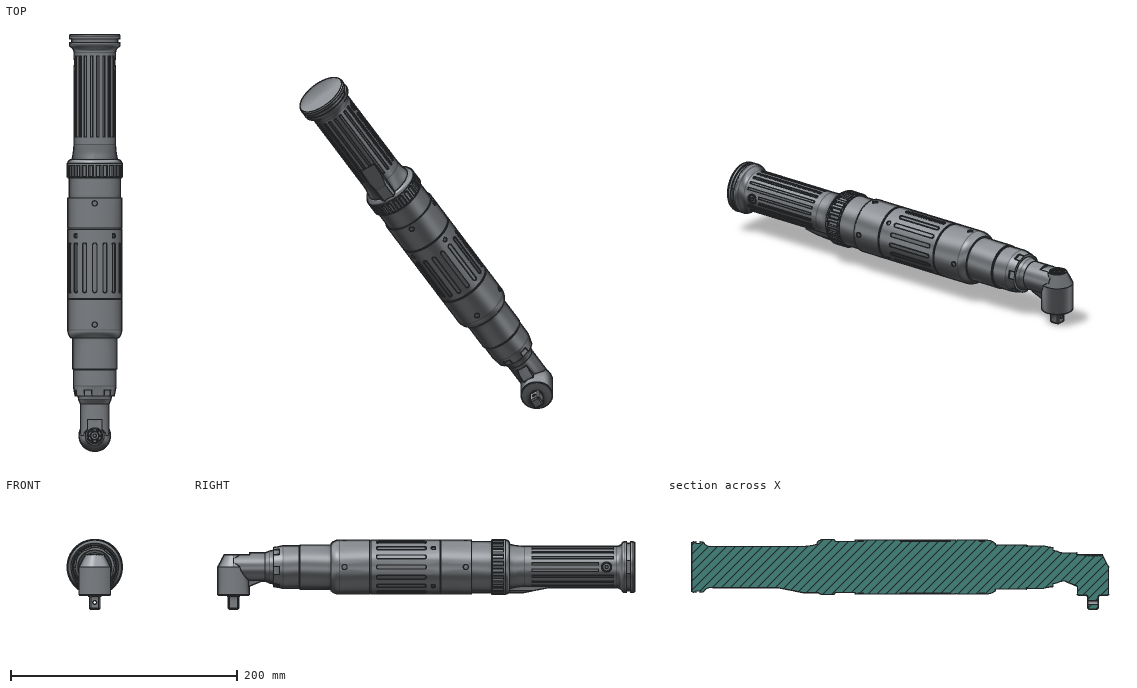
import cadquery as cq
import math


REAR_Y = 355.0
FLANGE_R = 22.5
FLANGE_CHAMFER_LENGTH = 1.5
FLANGE_CHAMFER_DEPTH = 0.7
FLANGE_FRONT_Y = 346.0
FLANGE_FILLET_R = 2.5
FLANGE_GROOVE_REAR_Y = 351.0
FLANGE_GROOVE_FRONT_Y = 347.7
FLANGE_GROOVE_R = 21.3
FLANGE_FLAT_X = 20.2
FLANGE_FLAT_WIDTH = 11.7
GRIP_R = 18.5
GRIP_REAR_Y = 339.0
GRIP_FRONT_Y = 257.6

FLUTE_COUNT = 20
FLUTE_WIDTH = 2.0
FLUTE_DEPTH = 1.0
FLUTE_REAR_Y = 336.0
FLUTE_SHORT_REAR_Y = 322.7
FLUTE_FRONT_Y = 264.2
RECESS_Y = 330.0
RECESS_D = 9.0
RECESS_DEPTH = 1.2
SCREW_HEAD_D = 6.8
SCREW_HEAD_HEIGHT = 0.6
SCREW_SOCKET_D = 3.0
SCREW_SOCKET_DEPTH = 2.0

WEDGE_REAR_Y = 278.0
WEDGE_CREST_Y = 256.0
WEDGE_DROP = 22.8
WEDGE_WIDTH = 14.0
WEDGE_EDGE_CHAMFER = 2.0

RING_R = 24.495
RING_SHOULDER_R = 24.0
RING_SHOULDER_FILLET = 3.7
RING_SHOULDER_Y = 240.6
RING_FRONT_Y = 228.0
RING_BEVEL = 1.0
KNURL_COUNT = 24
KNURL_REAR_Y = 238.9
KNURL_FRONT_Y = 229.2
KNURL_WIDTH = 4.6
KNURL_FLOOR_WIDTH = 2.6
KNURL_DEPTH = 1.0
COLLAR_R = 22.8

HOUSING_R = 24.0
HOUSING_REAR_Y = 210.4
HOUSING_TAPER_Y = 93.6
SHOULDER_Y = 86.4
SHOULDER_R = 21.0
HOUSING_SEAM_YS = (183.0, 121.0)
SEAM_WIDTH = 1.0
SEAM_DEPTH = 0.5
SLOT_COUNT = 16
SLOT_WIDTH = 3.6
SLOT_REAR_Y = 170.6
SLOT_FRONT_Y = 126.4
SLOT_DEPTH = 1.0
PLUG_YS = (205.5, 98.2)
PLUG_D = 4.6
PLUG_DEPTH = 1.0
PIN_Y = 176.8
PIN_D = 4.0
PIN_DEPTH = 1.5

TUBE_R = 19.7
TUBE_FRONT_Y = 58.5
CLUTCH_R = 19.0
CLUTCH_FRONT_Y = 43.8
NUT_FRONT_Y = 35.3
NUT_FRONT_R = 17.4
NUT_SLOT_COUNT = 6
NUT_SLOT_START_ANGLE = 40.0
NUT_SLOT_REAR_Y = 40.5
NUT_SLOT_WIDTH = 7.0
NUT_SLOT_FLOOR_R = 16.8
STEP_R = 15.0
STEP_FRONT_Y = 32.0
STEP_FRONT_R = 14.3
NECK_R = 12.7
NECK_REAR_Y = 28.0
NECK_FLAT_Y = 14.3

HEAD_R = 14.0
HEAD_TOP_R = 8.4
HEAD_TOP_Z = 11.0
HEAD_BOTTOM_Z = -25.0
HEAD_BOTTOM_CHAMFER = 0.6
CAP_SEAT_D = 14.0
CAP_D = 11.8
CAP_DEPTH = 1.0
CAP_CENTRE_D = 3.0
CAP_RING_OUTER_D = 8.0
CAP_RING_INNER_D = 6.8
CAP_PIN_COUNT = 6
CAP_PIN_D = 1.6
WEB_REAR_Y = 24.5
WEB_BOTTOM_Z = -17.0
WEB_WIDTH = 10.0

DRIVE_BOTTOM_Z = -37.49
DRIVE_SIZE = 9.5
DRIVE_CORNER = 1.3
DRIVE_COLLAR_D = 11.0
DRIVE_COLLAR_HEIGHT = 1.0
DRIVE_TIP_CHAMFER = 1.2
DRIVE_HOLE_D = 3.18
DRIVE_HOLE_Z = -31.3

AXIS_START = (0, 0, 0)
Y_AXIS_END = (0, 1, 0)


def about_body_axis(shape, angle):
    return shape.rotate(AXIS_START, Y_AXIS_END, angle)


def top_bar(width, front_y, rear_y, floor_z):
    """Square-ended bar above the body axis, used as a lengthwise cutter."""
    clearance = 10.0
    return (
        cq.Workplane("XY", origin=(0, (front_y + rear_y) / 2, floor_z))
        .rect(width, rear_y - front_y)
        .extrude(clearance)
    )


def top_hole(diameter, y, floor_z):
    """Round cutter pointing down onto the body axis from above."""
    clearance = 10.0
    return cq.Workplane("XY", origin=(0, y, floor_z)).circle(diameter / 2).extrude(clearance)


def make_body():
    drop = FLANGE_R - GRIP_R
    length = FLANGE_FRONT_Y - GRIP_REAR_Y
    radius_sum = (drop**2 + length**2) / (2 * drop)
    joint_share = FLANGE_FILLET_R / radius_sum
    joint = (FLANGE_R - joint_share * drop, FLANGE_FRONT_Y - joint_share * length)
    flare_r = RING_SHOULDER_R - RING_SHOULDER_FILLET
    flare_y = RING_SHOULDER_Y + RING_SHOULDER_FILLET
    fillet_reach = RING_SHOULDER_FILLET * math.sqrt(0.5)
    fillet_middle = (flare_r + fillet_reach, RING_SHOULDER_Y + fillet_reach)
    profile = (
        cq.Workplane("XY")
        .moveTo(0, REAR_Y)
        .lineTo(FLANGE_R - FLANGE_CHAMFER_DEPTH, REAR_Y)
        .lineTo(FLANGE_R, REAR_Y - FLANGE_CHAMFER_LENGTH)
        .lineTo(FLANGE_R, FLANGE_GROOVE_REAR_Y)
        .lineTo(FLANGE_GROOVE_R, FLANGE_GROOVE_REAR_Y)
        .lineTo(FLANGE_GROOVE_R, FLANGE_GROOVE_FRONT_Y)
        .lineTo(FLANGE_R, FLANGE_GROOVE_FRONT_Y)
        .lineTo(FLANGE_R, FLANGE_FRONT_Y)
        .tangentArcPoint(joint, relative=False)
        .tangentArcPoint((GRIP_R, GRIP_REAR_Y), relative=False)
        .lineTo(GRIP_R, GRIP_FRONT_Y)
        .tangentArcPoint((flare_r, flare_y), relative=False)
        .threePointArc(fillet_middle, (RING_SHOULDER_R, RING_SHOULDER_Y))
        .lineTo(RING_R, RING_SHOULDER_Y)
        .lineTo(RING_R, RING_FRONT_Y + RING_BEVEL)
        .lineTo(RING_R - RING_BEVEL, RING_FRONT_Y)
        .lineTo(COLLAR_R, RING_FRONT_Y)
        .lineTo(COLLAR_R, HOUSING_REAR_Y)
        .lineTo(HOUSING_R, HOUSING_REAR_Y)
        .lineTo(HOUSING_R, HOUSING_TAPER_Y)
        .tangentArcPoint((SHOULDER_R, SHOULDER_Y), relative=False)
        .lineTo(TUBE_R, SHOULDER_Y)
        .lineTo(TUBE_R, TUBE_FRONT_Y)
        .lineTo(CLUTCH_R, TUBE_FRONT_Y)
        .lineTo(CLUTCH_R, CLUTCH_FRONT_Y)
        .lineTo(NUT_FRONT_R, NUT_FRONT_Y)
        .lineTo(STEP_R, NUT_FRONT_Y)
        .lineTo(STEP_FRONT_R, STEP_FRONT_Y)
        .lineTo(NECK_R, NECK_REAR_Y)
        .lineTo(NECK_R, 0)
        .lineTo(0, 0)
        .close()
    )
    return profile.revolve(360, AXIS_START, Y_AXIS_END)


def make_wedge():
    """Ramp along the underside that grows from the grip towards the ring."""
    ramp = (
        cq.Workplane("YZ")
        .moveTo(WEDGE_REAR_Y, 0)
        .lineTo(WEDGE_REAR_Y, -GRIP_R)
        .lineTo(WEDGE_CREST_Y, -WEDGE_DROP)
        .lineTo(RING_SHOULDER_Y, -WEDGE_DROP)
        .lineTo(RING_SHOULDER_Y, 0)
        .close()
        .extrude(WEDGE_WIDTH / 2, both=True)
    )
    return ramp.faces("<Z").edges("|Y").chamfer(WEDGE_EDGE_CHAMFER)


def make_head():
    head = (
        cq.Workplane("XZ")
        .moveTo(0, HEAD_TOP_Z)
        .lineTo(HEAD_TOP_R, HEAD_TOP_Z)
        .lineTo(HEAD_R, 0)
        .lineTo(HEAD_R, HEAD_BOTTOM_Z + HEAD_BOTTOM_CHAMFER)
        .lineTo(HEAD_R - HEAD_BOTTOM_CHAMFER, HEAD_BOTTOM_Z)
        .lineTo(0, HEAD_BOTTOM_Z)
        .close()
        .revolve(360, AXIS_START, Y_AXIS_END)
    )
    web = (
        cq.Workplane("YZ")
        .moveTo(0, 0)
        .lineTo(WEB_REAR_Y, 0)
        .lineTo(WEB_REAR_Y, -NECK_R)
        .lineTo(HEAD_R, WEB_BOTTOM_Z)
        .lineTo(0, WEB_BOTTOM_Z)
        .close()
        .extrude(WEB_WIDTH / 2, both=True)
    )
    return head.union(web)


def make_drive():
    collar = (
        cq.Workplane("XY", origin=(0, 0, HEAD_BOTTOM_Z))
        .circle(DRIVE_COLLAR_D / 2)
        .extrude(-DRIVE_COLLAR_HEIGHT)
    )
    square = (
        cq.Workplane("XY", origin=(0, 0, HEAD_BOTTOM_Z))
        .rect(DRIVE_SIZE, DRIVE_SIZE)
        .extrude(DRIVE_BOTTOM_Z - HEAD_BOTTOM_Z)
        .edges("|Z")
        .chamfer(DRIVE_CORNER)
        .faces("<Z")
        .chamfer(DRIVE_TIP_CHAMFER)
    )
    detent_hole = (
        cq.Workplane("XZ", origin=(0, 0, DRIVE_HOLE_Z))
        .circle(DRIVE_HOLE_D / 2)
        .extrude(DRIVE_SIZE, both=True)
    )
    return collar.union(square).cut(detent_hole)


def flange_flat_cutters():
    """Flat-bottomed pockets on both sides of the flange groove floor."""
    cutter = top_bar(FLANGE_FLAT_WIDTH, FLANGE_GROOVE_FRONT_Y, FLANGE_GROOVE_REAR_Y, FLANGE_FLAT_X)
    return [about_body_axis(cutter, angle) for angle in (90, 270)]


def flute_cutters():
    """Lengthwise grip flutes; those beside the screw recesses start further forward."""
    pitch = 360 / FLUTE_COUNT
    cutters = []
    for index in range(FLUTE_COUNT):
        angle = (index + 0.5) * pitch
        beside_recess = abs(math.sin(math.radians(angle))) > math.cos(math.radians(pitch))
        rear_y = FLUTE_SHORT_REAR_Y if beside_recess else FLUTE_REAR_Y
        cutter = top_bar(FLUTE_WIDTH, FLUTE_FRONT_Y, rear_y, GRIP_R - FLUTE_DEPTH)
        cutters.append(about_body_axis(cutter, angle))
    return cutters


def recess_cutters():
    """Round side recesses, each with a socket-head screw standing in it."""
    floor = GRIP_R - RECESS_DEPTH
    head_top = floor + SCREW_HEAD_HEIGHT
    screw = (
        cq.Workplane("XY", origin=(0, RECESS_Y, floor))
        .circle(SCREW_HEAD_D / 2)
        .extrude(SCREW_HEAD_HEIGHT)
    )
    socket = top_hole(SCREW_SOCKET_D, RECESS_Y, head_top - SCREW_SOCKET_DEPTH)
    cutter = top_hole(RECESS_D, RECESS_Y, floor).cut(screw).union(socket)
    return [about_body_axis(cutter, angle) for angle in (90, 270)]


def knurl_cutters():
    """Knurl slots with sloping sides, closed at both ends."""
    pitch = 360 / KNURL_COUNT
    floor_z = RING_R - KNURL_DEPTH
    mouth_z = RING_R + KNURL_DEPTH
    mouth_half = KNURL_WIDTH - KNURL_FLOOR_WIDTH / 2
    floor_half = KNURL_FLOOR_WIDTH / 2
    cutter = (
        cq.Workplane("XZ", origin=(0, KNURL_REAR_Y, 0))
        .moveTo(-floor_half, floor_z)
        .lineTo(floor_half, floor_z)
        .lineTo(mouth_half, mouth_z)
        .lineTo(-mouth_half, mouth_z)
        .close()
        .extrude(KNURL_REAR_Y - KNURL_FRONT_Y)
    )
    return [about_body_axis(cutter, (index + 0.5) * pitch) for index in range(KNURL_COUNT)]


def seam_cutters():
    """Narrow grooves around the housing and at the front end of the tube."""
    seams = [(seam_y, HOUSING_R) for seam_y in HOUSING_SEAM_YS]
    seams.append((TUBE_FRONT_Y, CLUTCH_R))
    cutters = []
    for seam_y, surface_r in seams:
        ring = (
            cq.Workplane("XZ", origin=(0, seam_y + SEAM_WIDTH / 2, 0))
            .circle(HOUSING_R + SEAM_DEPTH)
            .circle(surface_r - SEAM_DEPTH)
            .extrude(SEAM_WIDTH)
        )
        cutters.append(ring)
    return cutters


def housing_slot_cutters():
    clearance = 10.0
    cutter = (
        cq.Workplane("XY", origin=(0, (SLOT_REAR_Y + SLOT_FRONT_Y) / 2, HOUSING_R - SLOT_DEPTH))
        .slot2D(SLOT_REAR_Y - SLOT_FRONT_Y, SLOT_WIDTH, 90)
        .extrude(clearance)
    )
    return [about_body_axis(cutter, index * 360 / SLOT_COUNT) for index in range(SLOT_COUNT)]


def housing_hole_cutters():
    """Plug holes on the four main sides and pin holes midway between them."""
    cutters = []
    for quarter in range(4):
        for plug_y in PLUG_YS:
            plug = top_hole(PLUG_D, plug_y, HOUSING_R - PLUG_DEPTH)
            cutters.append(about_body_axis(plug, quarter * 90))
        pin = top_hole(PIN_D, PIN_Y, HOUSING_R - PIN_DEPTH)
        cutters.append(about_body_axis(pin, quarter * 90 + 45))
    return cutters


def nut_slot_cutters():
    """Spanner slots around the nut, open towards the front."""
    pitch = 360 / NUT_SLOT_COUNT
    cutter = top_bar(NUT_SLOT_WIDTH, NUT_FRONT_Y, NUT_SLOT_REAR_Y, NUT_SLOT_FLOOR_R)
    return [
        about_body_axis(cutter, NUT_SLOT_START_ANGLE + index * pitch)
        for index in range(NUT_SLOT_COUNT)
    ]


def cap_cutters():
    """Ring grooves that outline the head cap, and the holes in the cap."""
    floor_z = HEAD_TOP_Z - CAP_DEPTH
    cap_floor = cq.Workplane("XY", origin=(0, 0, floor_z))
    seat = cap_floor.circle(CAP_SEAT_D / 2).circle(CAP_D / 2).extrude(CAP_DEPTH)
    ring = cap_floor.circle(CAP_RING_OUTER_D / 2).circle(CAP_RING_INNER_D / 2).extrude(CAP_DEPTH)
    pin_circle_r = (CAP_D + CAP_RING_OUTER_D) / 4
    pin_holes = (
        cap_floor.polarArray(pin_circle_r, 0, 360, CAP_PIN_COUNT)
        .circle(CAP_PIN_D / 2)
        .extrude(CAP_DEPTH)
    )
    return [seat, ring, pin_holes, top_hole(CAP_CENTRE_D, 0, floor_z)]


def cut_all(shape, cutters):
    solids = [solid for cutter in cutters for solid in cutter.solids().vals()]
    return shape.cut(cq.Workplane(cq.Compound.makeCompound(solids)))


body = make_body()
body = cut_all(body, flange_flat_cutters())
body = cut_all(body, flute_cutters())
body = cut_all(body, recess_cutters())
body = body.union(make_wedge())
body = cut_all(body, knurl_cutters())
body = cut_all(body, seam_cutters())
body = cut_all(body, housing_slot_cutters())
body = cut_all(body, housing_hole_cutters())
body = cut_all(body, nut_slot_cutters())

neck_flat = top_bar(2 * NECK_R, -HEAD_R, NECK_FLAT_Y, HEAD_TOP_Z)
body = body.cut(neck_flat)

result = body.union(make_head()).union(make_drive())
result = cut_all(result, cap_cutters())